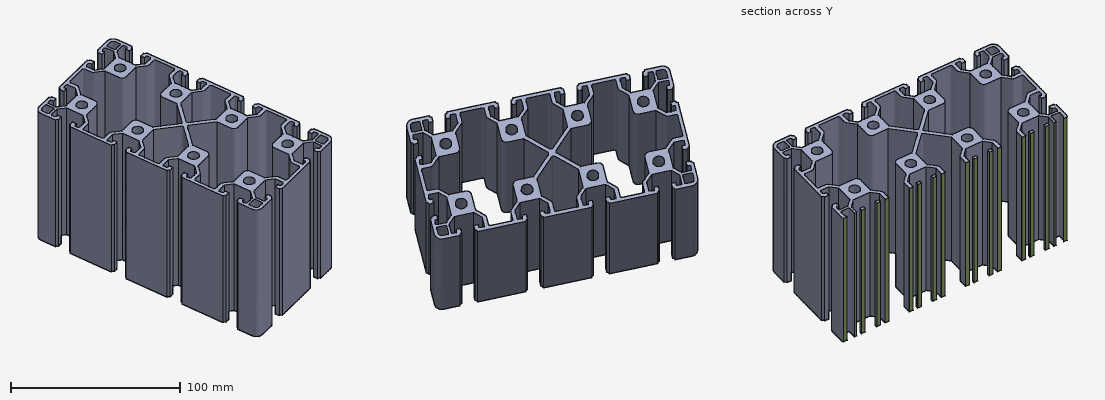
import cadquery as cq
import math

length = 160.0
width = 80.0
height = 100.0
corner_radius = 4.5

pitch = 40.0
skin = 2.2

slot_opening = 8.0
lip_depth = 4.3
lip_thickness = 2.7
lip_edge_radius = 1.3
slot_inner_width = 20.2
slot_corner_radius = 0.8

core_size = 14.7
core_radius = 3.0
bore_diameter = 6.9

rib_thickness = 2.0
strut_thickness = 2.4
slot_wall = 2.5
corner_box_wall = 1.6
chamber_radius = 1.0
box_radius = 0.6
bend_radius = 2.5
hub_radius = 1.3

half_length = length / 2
half_width = width / 2
half_pitch = pitch / 2
core_half = core_size / 2
slot_half = slot_inner_width / 2
opening_half = slot_opening / 2
wall_half = slot_half + slot_wall
rib_offset = rib_thickness / math.sqrt(2)
strut_offset = strut_thickness / math.sqrt(2)
rib_start = core_half - rib_offset
strut_start = core_half - strut_offset


def extrude_outline(points):
    return cq.Workplane("XY").polyline(points).close().extrude(height)


def round_edges(solid, points, radius):
    """Fillet the upright edges that pass through the given plan points."""
    reach = 0.08
    for x, y in points:
        box = cq.selectors.BoxSelector(
            (x - reach, y - reach, -reach), (x + reach, y + reach, height + reach)
        )
        solid = solid.edges("|Z").edges(box).fillet(radius)
    return solid


def mirror_x(points):
    """Close a half outline with its mirror image about X = 0."""
    return points + [(-x, y) for x, y in reversed(points)]


def mirror_y(points):
    """Close a half outline with its mirror image about Y = 0, sharing points on the axis."""
    return points + [(x, -y) for x, y in reversed(points) if y != 0]


def make_slot():
    """T-slot void centred on X = 0, opening towards +Y through the plane Y = 0."""
    lip_half = opening_half + lip_thickness
    floor = core_half - half_pitch
    bend = slot_half + rib_offset - half_pitch
    right_side = [
        (opening_half, 0),
        (opening_half, -lip_depth),
        (lip_half, -lip_depth),
        (lip_half, -skin),
        (slot_half, -skin),
        (slot_half, bend),
        (rib_start, floor),
    ]
    slot = extrude_outline(mirror_x(right_side))
    inner_corners = [(side * x, -skin) for side in (-1, 1) for x in (lip_half, slot_half)]
    slot = round_edges(slot, inner_corners, slot_corner_radius)

    r = lip_edge_radius
    for side in (-1, 1):
        edge = side * opening_half
        flare = cq.Workplane("XY").moveTo(edge, 0).lineTo(edge + side * r, 0)
        flare = flare.radiusArc((edge, -r), side * r).close().extrude(height)
        slot = slot.union(flare)
    return slot


def make_corner_box():
    """Square hollow in the -X, +Y corner, rounder outside so that the skin stays even."""
    near = skin
    far = half_pitch - slot_half - corner_box_wall
    outer_corner = (near - half_length, half_width - near)
    inner_corners = [(x - half_length, half_width - y) for x, y in ((far, near), (far, far), (near, far))]
    box = extrude_outline([outer_corner] + inner_corners)
    box = round_edges(box, [outer_corner], corner_radius - skin)
    return round_edges(box, inner_corners, box_radius)


def make_side_chamber():
    """Large void on the -X side, running in between the end cores and the middle cores."""
    end_x = half_pitch - half_length
    mid_x = -half_pitch
    core_y = half_pitch
    wall_x = skin - half_length
    wall_y = half_width - skin
    bend = wall_half - rib_offset
    end_core_corner = (end_x + core_half, core_y - core_half)
    mid_core_corner = (mid_x - core_half, core_y - core_half)
    hub_corner = (-strut_offset, 0)
    panel_corners = [
        (wall_x, core_y - wall_half),
        (end_x + wall_half, wall_y),
        (mid_x - wall_half, wall_y),
    ]
    wall_bends = [
        (end_x - bend, core_y - wall_half),
        (end_x + wall_half, core_y + bend),
        (mid_x - wall_half, core_y + bend),
    ]
    upper_half = [
        panel_corners[0],
        wall_bends[0],
        (end_x - rib_start, core_y - core_half),
        end_core_corner,
        (end_x + core_half, core_y + rib_start),
        wall_bends[1],
        panel_corners[1],
        panel_corners[2],
        wall_bends[2],
        (mid_x - core_half, core_y + rib_start),
        mid_core_corner,
        (mid_x + strut_start, core_y - core_half),
        hub_corner,
    ]
    chamber = extrude_outline(mirror_y(upper_half))
    chamber = round_edges(chamber, mirror_y([end_core_corner, mid_core_corner]), core_radius)
    chamber = round_edges(chamber, mirror_y(panel_corners), chamber_radius)
    chamber = round_edges(chamber, mirror_y(wall_bends), bend_radius)
    return round_edges(chamber, [hub_corner], hub_radius)


def make_middle_chamber():
    """Void on the +Y side between the two middle cores, pointing down to the hub."""
    wall_y = half_width - skin
    inner_x = half_pitch - wall_half
    core_x = half_pitch - core_half
    panel_corner = (inner_x, wall_y)
    wall_bend = (inner_x, half_pitch + wall_half - rib_offset)
    hub_corner = (0, strut_offset)
    right_side = [
        panel_corner,
        wall_bend,
        (core_x, half_pitch + rib_start),
        (core_x, half_pitch - strut_start),
    ]
    outline = right_side + [hub_corner] + [(-x, y) for x, y in reversed(right_side)]
    chamber = extrude_outline(outline)
    chamber = round_edges(chamber, mirror_x([panel_corner]), chamber_radius)
    chamber = round_edges(chamber, mirror_x([wall_bend]), bend_radius)
    return round_edges(chamber, [hub_corner], hub_radius)


def cut_mirrored(body, void, plane):
    """Cut a void and its mirror image in the given plane."""
    return body.cut(void).cut(void.mirror(plane))


result = cq.Workplane("XY").rect(length, width).extrude(height).edges("|Z").fillet(corner_radius)

slot = make_slot()
long_side_slots = [pitch * (i + 0.5) - half_length for i in range(round(length / pitch))]
short_side_slots = [pitch * (i + 0.5) - half_width for i in range(round(width / pitch))]
for x in long_side_slots:
    result = cut_mirrored(result, slot.translate((x, half_width, 0)), "XZ")
end_slot = slot.rotate((0, 0, 0), (0, 0, 1), 90)
for y in short_side_slots:
    result = cut_mirrored(result, end_slot.translate((-half_length, y, 0)), "YZ")

corner_box = make_corner_box()
for box in (corner_box, corner_box.mirror("XZ")):
    result = cut_mirrored(result, box, "YZ")

result = cut_mirrored(result, make_side_chamber(), "YZ")
result = cut_mirrored(result, make_middle_chamber(), "XZ")

bore_centres = [(x, y) for x in long_side_slots for y in short_side_slots]
bores = cq.Workplane("XY").pushPoints(bore_centres).circle(bore_diameter / 2).extrude(height)
result = result.cut(bores)